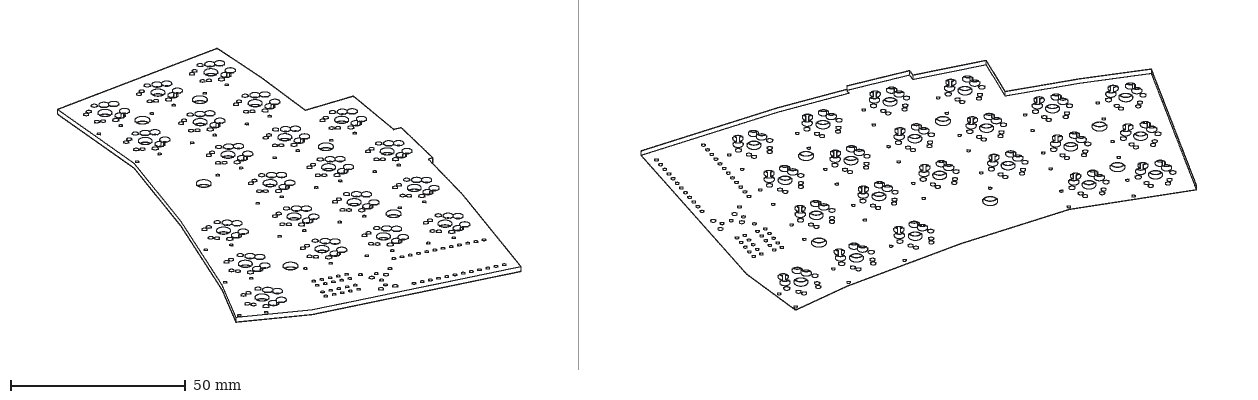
import cadquery as cq
import math


LENGTH = 147.3
WIDTH = 89.0
THICKNESS = 1.6
HALF_LENGTH = LENGTH / 2
HALF_WIDTH = WIDTH / 2

HALF_PITCH = 1.27
PIN_PITCH = 2 * HALF_PITCH
KEY_PITCH = 15 * HALF_PITCH

OUTLINE = [
    (HALF_LENGTH, HALF_WIDTH),
    (HALF_LENGTH, -20.0),
    (69.4, -41.8),
    (51.0, -38.6),
    (12.8, -35.8),
    (-22.4, -35.8),
    (-59.0, -HALF_WIDTH),
    (-HALF_LENGTH, 10.9),
    (-53.3, 16.4),
    (-31.7, 20.9),
    (-33.9, 36.7),
    (-12.1, 40.2),
    (-12.2, 42.6),
    (7.0, HALF_WIDTH),
    (7.2, 43.0),
    (29.5, HALF_WIDTH),
]

KEYS_PER_COLUMN = 3
COLUMNS = [
    (-56.9, -14.3, 15),
    (-36.8, -9.5, 12),
    (-19.7, 9.7, 9),
    (0.7, 14.9, 6),
    (21.8, 14.1, 3),
    (42.9, 14.6, 0),
]
THUMB_KEYS = [
    (22.5, -26.5, -1.7),
    (42.3, -27.8, -5.7),
    (61.7, -30.6, -9.3),
]

STEM_DIAMETER = 4.0
SOCKET_DIAMETER = 3.0
SOCKET_HOLES = [(2 * HALF_PITCH, 4 * HALF_PITCH), (3 * HALF_PITCH, 2 * HALF_PITCH)]
PEG_DIAMETER = 1.8
PEG_HOLES = [(4 * HALF_PITCH, 0)]
SWITCH_PIN_DIAMETER = 1.5
SWITCH_PIN_HOLES = [(3.4, -3.2), (2 * HALF_PITCH, -4.9)]
DIODE_DIAMETER = 1.0
DIODE_HOLES = [(8.4, -0.7), (8.4, -8.5)]

MOUNT_DIAMETER = 4.3
MOUNT_HOLES = [(32.1, 22.1), (-10.3, 18.5), (-48.6, -4.7), (48.3, -16.4), (-4.3, -21.7), (-44.0, -24.3)]

CONTROLLER_CENTER = (63.2, 26.5)
CONTROLLER_ROW_SPACING = 12 * HALF_PITCH
CONTROLLER_PINS = 12
CONTROLLER_DIAMETER = 1.09

HEADER_CENTER = (63.3, -8.4)
HEADER_PAIR_SPACING = 6.6
HEADER_PINS = 5
HEADER_DIAMETER = 1.02

CONNECTOR_Y = 4.9
CONNECTOR_PAD_DIAMETER = 1.5
CONNECTOR_PADS = [(63.2, 2.2), (70.1, 2.2)]
CONNECTOR_PIN_DIAMETER = 1.09
CONNECTOR_SIDE_PINS = [(60.4, 4.5)]
CONNECTOR_LINE_Y = 4.7
CONNECTOR_LINE_PINS = [61.6, 65.5, 68.5]


def placed(points, x, y, tilt):
    """Turn points by the tilt in degrees, then shift them to (x, y)."""
    c = math.cos(math.radians(tilt))
    s = math.sin(math.radians(tilt))
    return [(x + c * px - s * py, y + s * px + c * py) for px, py in points]


def mirrored(points):
    """Points together with their mirror images across the Y axis."""
    return points + [(-px, py) for px, py in points]


def key_positions():
    """Centre and tilt of every key."""
    keys = list(THUMB_KEYS)
    for x, y, tilt in COLUMNS:
        for row in range(KEYS_PER_COLUMN):
            offset = (row - (KEYS_PER_COLUMN - 1) / 2) * KEY_PITCH
            key_x, key_y = placed([(0, offset)], x, y, tilt)[0]
            keys.append((key_x, key_y, tilt))
    return keys


def pin_grid(center, column_offsets, count):
    """Columns of evenly pitched pins, centred on a point."""
    first = -(count - 1) / 2 * PIN_PITCH
    return [
        (center[0] + dx, center[1] + first + i * PIN_PITCH)
        for dx in column_offsets
        for i in range(count)
    ]


def drill(body, points, diameter):
    """Cut round through holes at the points."""
    holes = cq.Workplane("XY").pushPoints(points).circle(diameter / 2).extrude(THICKNESS)
    return body.cut(holes)


def drill_keys(body):
    key_holes = [
        ([(0, 0)], STEM_DIAMETER),
        (mirrored(SOCKET_HOLES), SOCKET_DIAMETER),
        (mirrored(PEG_HOLES), PEG_DIAMETER),
        (mirrored(SWITCH_PIN_HOLES), SWITCH_PIN_DIAMETER),
        (DIODE_HOLES, DIODE_DIAMETER),
    ]
    for pattern, diameter in key_holes:
        points = []
        for x, y, tilt in key_positions():
            points += placed(pattern, x, y, tilt)
        body = drill(body, points, diameter)
    return body


def drill_controller(body):
    half_spacing = CONTROLLER_ROW_SPACING / 2
    pins = pin_grid(CONTROLLER_CENTER, [-half_spacing, half_spacing], CONTROLLER_PINS)
    return drill(body, pins, CONTROLLER_DIAMETER)


def drill_header(body):
    offsets = [
        side * HEADER_PAIR_SPACING / 2 + inner * PIN_PITCH / 2
        for side in (-1, 1)
        for inner in (-1, 1)
    ]
    pins = pin_grid(HEADER_CENTER, offsets, HEADER_PINS)
    return drill(body, pins, HEADER_DIAMETER)


def drill_connector(body):
    pads = [(x, CONNECTOR_Y + side * d) for x, d in CONNECTOR_PADS for side in (-1, 1)]
    pins = [(x, CONNECTOR_Y + side * d) for x, d in CONNECTOR_SIDE_PINS for side in (-1, 1)]
    pins += [(x, CONNECTOR_LINE_Y) for x in CONNECTOR_LINE_PINS]
    body = drill(body, pads, CONNECTOR_PAD_DIAMETER)
    return drill(body, pins, CONNECTOR_PIN_DIAMETER)


board = cq.Workplane("XY").polyline(OUTLINE).close().extrude(THICKNESS)
board = drill_keys(board)
board = drill(board, MOUNT_HOLES, MOUNT_DIAMETER)
board = drill_controller(board)
board = drill_header(board)
result = drill_connector(board)